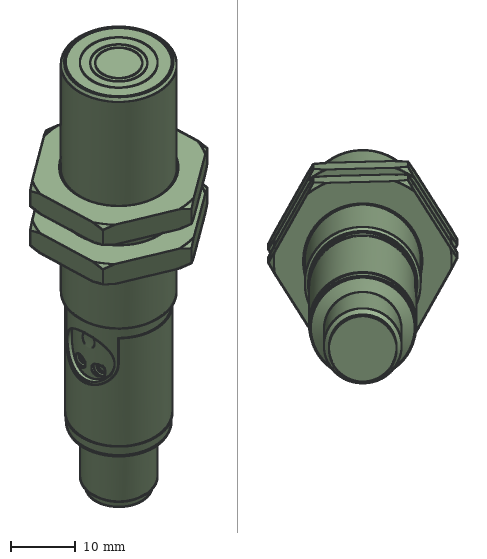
import cadquery as cq
import math

TOTAL_HEIGHT = 86.0
BARREL_BOTTOM = 39.0
SLEEVE_TOP = 36.9
SLEEVE_BOTTOM = 14.9
SHOULDER_TOP = 13.1
SHOULDER_EDGE = 12.6
CONNECTOR_TOP = 11.6
CONNECTOR_EDGE = 1.8
TIP_TOP = 1.0

BARREL_DIAMETER = 18.0
NECK_DIAMETER = 16.4
SLEEVE_DIAMETER = 16.7
SHOULDER_DIAMETER = 16.1
CONNECTOR_DIAMETER = 12.0
TIP_DIAMETER = 10.5
BARREL_CHAMFER = 0.5

INSERT_DIAMETER = 16.4
WINDOW_DIAMETER = 12.0
LENS_RING_OUTER = 8.9
LENS_RING_INNER = 7.3
FACE_STEP = 0.1

PANEL_HEIGHT = 31.6
PANEL_DIAMETER = 9.5
PANEL_FLOOR_RADIUS = 7.4
SLEEVE_NOTCH_WIDTH = 10.5
INDICATOR_OFFSET = 2.75
INDICATOR_LENGTH = 3.1
INDICATOR_SPHERE_RADIUS = 5.0
SCREW_SPACING = 3.6
SCREW_DROP = 2.6
SCREW_DIAMETER = 2.4
SCREW_INNER_DIAMETER = 1.7
SCREW_MOUTH_DEPTH = 0.35
SCREW_DEPTH = 1.0

HEXAGON_SIDES = 6
NUT_ACROSS_FLATS = 25.4
NUT_THICKNESS = 4.0
NUT_BOTTOMS = (52.55, 60.55)
NUT_FACE_DIAMETER = 27.5
NUT_CHAMFER_ANGLE = 30.0
NUT_BORE_CHAMFER = 0.3


def upright_cylinder(diameter, bottom, top):
    return cq.Workplane("XY").workplane(offset=bottom).circle(diameter / 2).extrude(top - bottom)


def turned_body():
    """Barrel, neck, shoulder and connector turned about Z."""
    barrel = BARREL_DIAMETER / 2
    neck = NECK_DIAMETER / 2
    connector = CONNECTOR_DIAMETER / 2
    tip = TIP_DIAMETER / 2
    profile = [
        (0, 0),
        (tip, 0),
        (tip, TIP_TOP),
        (connector, CONNECTOR_EDGE),
        (connector, CONNECTOR_TOP),
        (SHOULDER_DIAMETER / 2, SHOULDER_EDGE),
        (neck, SHOULDER_TOP),
        (neck, BARREL_BOTTOM),
        (barrel - BARREL_CHAMFER, BARREL_BOTTOM),
        (barrel, BARREL_BOTTOM + BARREL_CHAMFER),
        (barrel, TOTAL_HEIGHT - BARREL_CHAMFER),
        (barrel - BARREL_CHAMFER, TOTAL_HEIGHT),
        (0, TOTAL_HEIGHT),
    ]
    return cq.Workplane("XZ").polyline(profile).close().revolve(360, (0, 0, 0), (0, 1, 0))


def panel_plane():
    """Workplane centred on the panel, with its normal pointing out along -Y."""
    return cq.Workplane("XZ", origin=(0, 0, PANEL_HEIGHT))


def sleeve():
    """Raised band around the neck with a round-ended notch that frames the panel."""
    band = upright_cylinder(SLEEVE_DIAMETER, SLEEVE_BOTTOM, SLEEVE_TOP)
    half_width = SLEEVE_NOTCH_WIDTH / 2
    notch_top = SLEEVE_TOP - PANEL_HEIGHT
    notch = (
        panel_plane()
        .moveTo(-half_width, notch_top)
        .lineTo(-half_width, 0)
        .threePointArc((0, -half_width), (half_width, 0))
        .lineTo(half_width, notch_top)
        .close()
        .extrude(SLEEVE_DIAMETER)
    )
    return band.cut(notch)


def panel_core():
    """Cylinder about the sensor axis whose side is the panel floor."""
    return upright_cylinder(2 * PANEL_FLOOR_RADIUS, SLEEVE_BOTTOM, BARREL_BOTTOM)


def panel_recess():
    """Round recess whose floor is curved about the sensor axis."""
    disc = panel_plane().circle(PANEL_DIAMETER / 2).extrude(BARREL_DIAMETER)
    return disc.cut(panel_core())


def indicator_dimple():
    """Part of a large sphere below the panel floor, leaving a shallow upright oval dimple."""
    half_length = INDICATOR_LENGTH / 2
    centre_height_above_floor = math.sqrt(INDICATOR_SPHERE_RADIUS**2 - half_length**2)
    centre_y = -PANEL_FLOOR_RADIUS - centre_height_above_floor
    sphere = cq.Workplane("XY").sphere(INDICATOR_SPHERE_RADIUS)
    return sphere.translate((0, centre_y, PANEL_HEIGHT + INDICATOR_OFFSET)).intersect(panel_core())


def screw_recess(x):
    """Round recess narrowing through a cone, sunk into the panel floor at x."""
    mouth_radius = SCREW_DIAMETER / 2
    inner_radius = SCREW_INNER_DIAMETER / 2
    taper = mouth_radius - inner_radius
    floor_y = math.sqrt(PANEL_FLOOR_RADIUS**2 - x**2)
    profile = [
        (0, -SCREW_DEPTH),
        (inner_radius, -SCREW_DEPTH),
        (inner_radius, -SCREW_MOUTH_DEPTH - taper),
        (mouth_radius, -SCREW_MOUTH_DEPTH),
        (mouth_radius, mouth_radius),
        (0, mouth_radius),
    ]
    plane = cq.Plane(origin=(x, -floor_y, PANEL_HEIGHT - SCREW_DROP), xDir=(1, 0, 0), normal=(0, 0, -1))
    return cq.Workplane(plane).polyline(profile).close().revolve(360, (0, 0, 0), (0, 1, 0))


def face_recess():
    """Shallow steps down to the window and, one deeper, a ring around the lens."""
    insert_floor = TOTAL_HEIGHT - FACE_STEP
    window_floor = insert_floor - FACE_STEP
    ring_floor = window_floor - FACE_STEP
    insert = upright_cylinder(INSERT_DIAMETER, insert_floor, TOTAL_HEIGHT)
    window = upright_cylinder(WINDOW_DIAMETER, window_floor, TOTAL_HEIGHT)
    lens = upright_cylinder(LENS_RING_INNER, ring_floor, TOTAL_HEIGHT)
    ring = upright_cylinder(LENS_RING_OUTER, ring_floor, TOTAL_HEIGHT).cut(lens)
    return insert.union(window).union(ring)


def make_sensor():
    sensor = turned_body().union(sleeve())
    sensor = sensor.cut(panel_recess())
    sensor = sensor.cut(indicator_dimple())
    for side in (-1, 1):
        sensor = sensor.cut(screw_recess(side * SCREW_SPACING / 2))
    return sensor.cut(face_recess())


def make_nut(bottom):
    """Hexagon nut with corners bevelled by a cone at both ends and a chamfered bore."""
    corner_radius = NUT_ACROSS_FLATS / 2 / math.cos(math.radians(180 / HEXAGON_SIDES))
    face_radius = NUT_FACE_DIAMETER / 2
    bevel_height = (corner_radius - face_radius) * math.tan(math.radians(NUT_CHAMFER_ANGLE))
    top = bottom + NUT_THICKNESS
    hexagon = (
        cq.Workplane("XY")
        .workplane(offset=bottom)
        .polygon(HEXAGON_SIDES, 2 * corner_radius)
        .extrude(NUT_THICKNESS)
    )
    envelope = (
        cq.Workplane("XZ")
        .polyline([
            (0, bottom),
            (face_radius, bottom),
            (corner_radius, bottom + bevel_height),
            (corner_radius, top - bevel_height),
            (face_radius, top),
            (0, top),
        ])
        .close()
        .revolve(360, (0, 0, 0), (0, 1, 0))
    )
    bore = upright_cylinder(BARREL_DIAMETER, bottom, top)
    blank = hexagon.intersect(envelope).cut(bore)
    bore_rims = blank.faces("<Z or >Z").edges("%CIRCLE").edges(cq.selectors.RadiusNthSelector(0))
    return bore_rims.chamfer(NUT_BORE_CHAMFER)


sensor = make_sensor()
nuts = [make_nut(bottom) for bottom in NUT_BOTTOMS]

result = cq.Compound.makeCompound([sensor.val(), *[nut.val() for nut in nuts]])